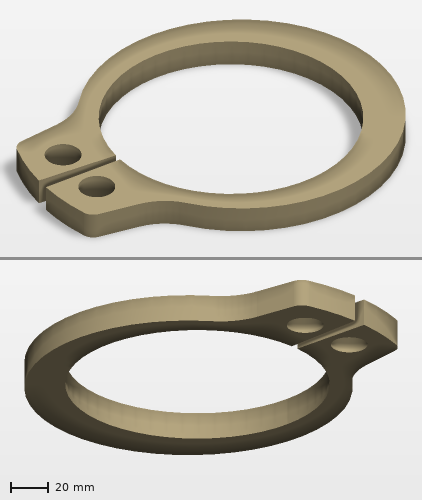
import cadquery as cq
import math

thickness = 15.0
outer_radius = 88.6
bore_radius = 71.5
lug_tip_radius = 119.3
gap_half_angle = 1.75

overall_length = 214.6
lug_end_depth = lug_tip_radius * math.cos(math.radians(gap_half_angle))
ring_offset = overall_length - outer_radius - lug_end_depth

lug_half_width_tip = 40.1
lug_tip_y = -107.3
lug_side_angle = 8.0
lug_corner_radius = 7.5
lug_root_radius = 34.3

hole_diameter = 20.0
hole_spacing = 35.0
hole_y = -95.5

overrun = 2.1


def lug_half_width(y):
    """Half width across both lugs at height y."""
    return lug_half_width_tip + (y - lug_tip_y) * math.tan(math.radians(lug_side_angle))


def cylinder(radius, center_y=0.0):
    return cq.Workplane("XY").center(0, center_y).circle(radius).extrude(thickness)


def lugs():
    """Both lugs as one tapered block with a round end, before the gap is cut."""
    top_y = -bore_radius / 2
    bottom_y = -lug_tip_radius - overrun
    top = lug_half_width(top_y)
    bottom = lug_half_width(bottom_y)
    return (
        cq.Workplane("XY")
        .polyline([(-top, top_y), (top, top_y), (bottom, bottom_y), (-bottom, bottom_y)])
        .close()
        .extrude(thickness)
        .intersect(cylinder(lug_tip_radius))
    )


def gap():
    """Wedge with its point at the bore centre, parting the two lugs."""
    length = lug_tip_radius + overrun
    half_width = length * math.tan(math.radians(gap_half_angle))
    return (
        cq.Workplane("XY")
        .polyline([(0, 0), (half_width, -length), (-half_width, -length)])
        .close()
        .extrude(thickness)
    )


def fillet_upright_edges(body, low_y, high_y, radius):
    """Round the upright edges lying between two Y positions."""
    selector = cq.selectors.BoxSelector((-outer_radius, low_y, 0), (outer_radius, high_y, thickness))
    return body.edges("|Z").edges(selector).fillet(radius)


body = cylinder(outer_radius, ring_offset).union(lugs())
body = fillet_upright_edges(body, hole_y, -bore_radius / 2, lug_root_radius)
body = fillet_upright_edges(body, -lug_tip_radius, hole_y - hole_diameter / 2, lug_corner_radius)
body = body.cut(cylinder(bore_radius)).cut(gap())

holes = (
    cq.Workplane("XY")
    .pushPoints([(-hole_spacing / 2, hole_y), (hole_spacing / 2, hole_y)])
    .circle(hole_diameter / 2)
    .extrude(thickness)
)
result = body.cut(holes)